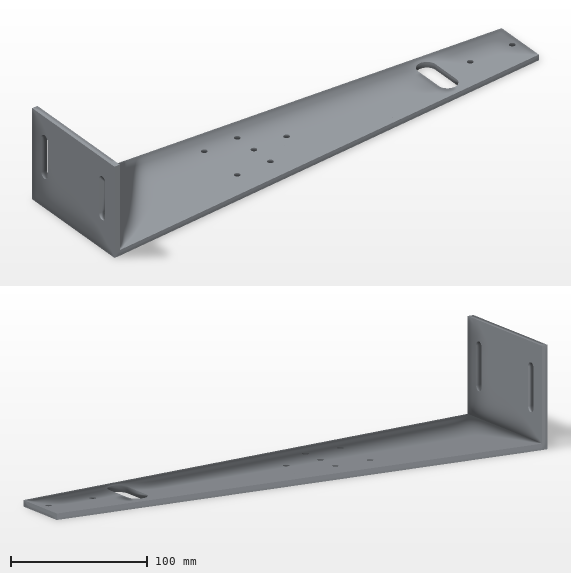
import cadquery as cq

length = 409.0
base_width = 100.0
tip_width = 45.0
height = 79.0
thickness = 5.0

hole_diameter = 5.0
hole_spacing_x = 40.0
tip_hole_ys = (363.0, 401.5)
single_hole_y = 195.0
front_row_y = 135.0
rear_row_y = 165.2

arm_slot_y = 333.0
arm_slot_length = 41.0
arm_slot_width = 16.0

flange_slot_spacing = 70.0
flange_slot_z = 44.0
flange_slot_length = 37.5
flange_slot_width = 7.5


def make_arm():
    """Flat arm, full width along the flange and tapering to the tip."""
    half_base = base_width / 2
    half_tip = tip_width / 2
    outline = [
        (-half_base, 0),
        (half_base, 0),
        (half_base, thickness),
        (half_tip, length),
        (-half_tip, length),
        (-half_base, thickness),
    ]
    return cq.Workplane("XY").polyline(outline).close().extrude(thickness)


def make_flange():
    """Upright plate at the wide end of the arm."""
    return cq.Workplane("XY").box(base_width, thickness, height, centered=(True, False, False))


def make_arm_holes():
    """Cutters for the round holes on the centre line and beside it."""
    side_x = hole_spacing_x / 2
    centers = [(0, y) for y in (single_hole_y, rear_row_y, *tip_hole_ys)]
    centers += [(x, y) for x in (-side_x, side_x) for y in (front_row_y, rear_row_y)]
    return cq.Workplane("XY").pushPoints(centers).circle(hole_diameter / 2).extrude(thickness)


def make_arm_slot():
    """Cutter for the wide slot near the tip."""
    return (
        cq.Workplane("XY")
        .center(0, arm_slot_y)
        .slot2D(arm_slot_length, arm_slot_width)
        .extrude(thickness)
    )


def make_flange_slots():
    """Cutters for the two upright slots."""
    side_x = flange_slot_spacing / 2
    return (
        cq.Workplane("XZ")
        .pushPoints([(-side_x, flange_slot_z), (side_x, flange_slot_z)])
        .slot2D(flange_slot_length, flange_slot_width, 90)
        .extrude(-thickness)
    )


result = (
    make_arm()
    .union(make_flange())
    .cut(make_arm_holes())
    .cut(make_arm_slot())
    .cut(make_flange_slots())
)